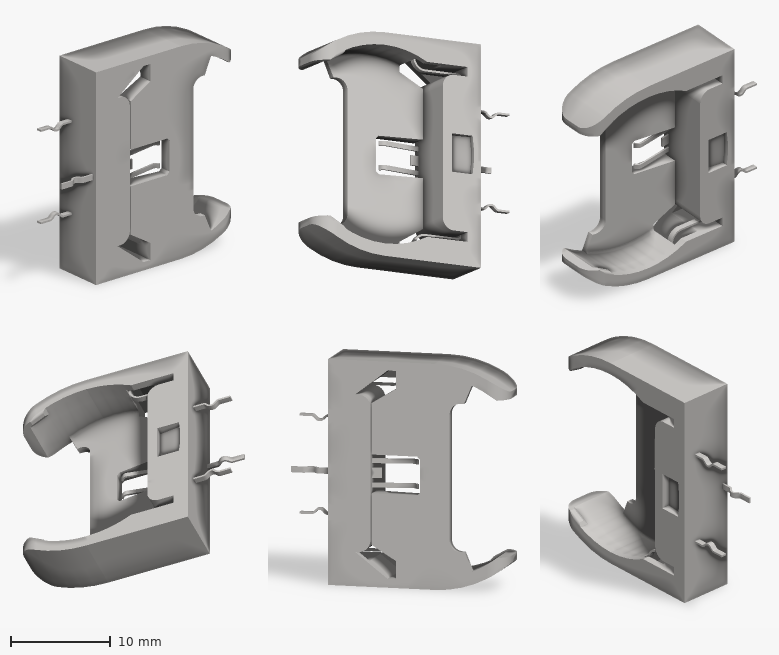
import cadquery as cq
import math


WIDTH = 5.8
DEPTH = 18.5
HALF_HEIGHT = 11.5
CELL_Y = 11.0
ARM_OUTER_R = HALF_HEIGHT
ARM_INNER_R = 10.21
ARM_TIP_INNER_R = 10.42
ARM_TIP_CENTRE_Z = ARM_INNER_R - ARM_TIP_INNER_R
TIP_HALF_GAP = 8.0
TIP_CORNER_R = 2.0
WALL_THICK = 4.37
WALL_CORNER_R = 1.25

SLOT_END_Y = 1.55
SLOT_INNER_Z = TIP_HALF_GAP
SLOT_OUTER_Z = 9.0
WEB_THICK = 0.8

RELIEF_X = 0.8
RELIEF_OUTER_Z = 10.6
RELIEF_BACK_Y = 7.02
RELIEF_FRONT_Y = (2.78, 6.16)

FLOOR_TILT = math.tan(math.radians(7))
FLOOR_X_AT_WALL = 3.35
FLOOR_FRONT_Y = 4.5
FLOOR_BACK_Y = 12.58
FLOOR_RELIEF_Z = (7.22, 8.75)
FLOOR_EAR_Z = 7.57
FLOOR_EAR_INNER_Y = 14.08
FLOOR_EAR_TIP = (14.97, 9.65)
FLOOR_EAR_R = 1.2
FLOOR_ROOT_R = 10.58
FLOOR_FILLET_R = 0.25
NOTCH_HALF_WIDTH = 1.98
NOTCH_END_Y = 9.52
NOTCH_CHAMFER = 0.3

LIP_SLOPE = 30
LIP_BASE_START = (15.39, 9.27)
LIP_CREST_START = (15.73, 8.79)
LIP_HEIGHT = 0.25
LIP_CREST_X = 0.65
LIP_BASE_X = 1.05

POCKET_Y = (0.97, 3.31)
POCKET_BULGE_Y = 0.8
POCKET_HALF_WIDTH = NOTCH_HALF_WIDTH
POCKET_DEPTH = 0.9

SHEET = 0.2
PIN_WIDTH = 0.6
PIN_LENGTH = 4.0
KINK_Y = -1.93
KINK_RISE = 0.7
KINK_CREST_R = 0.5
KINK_FOOT_R = 0.45
SIDE_PIN_Z = 5.0
SIDE_X = 1.68
SPRING_Z = 8.46
SPRING_LEG_Y = 1.45
SPRING_BEND_R = 0.55
SPRING_CURL_R = 1.25
SPRING_TIP_Y = 6.88
SPRING_TIP_Z = 9.75
CENTRE_X = 5.2
PLATE_Y = (2.07, 4.15)
PLATE_HALF_WIDTH = 1.5
FINGER_WIDTH = 0.48
FINGER_Z = 1.25
FINGER_ROOT_Y = 3.9
FINGER_PEAK = (8.67, 4.37)
FINGER_TIP = (9.06, 4.8)
FINGER_BEND_R = 0.48
TAB_WIDTH = 1.04
TAB_END_Y = 5.34


def prism(sketch_points, x_from=0.0, x_to=WIDTH):
    """Extrude a polygon of (Y, Z) points along X."""
    return cq.Workplane("YZ", origin=(x_from, 0, 0)).polyline(sketch_points).close().extrude(x_to - x_from)




def circle_z(radius, y):
    return math.sqrt(radius**2 - (y - CELL_Y) ** 2)


def circle_dy(radius, z):
    return math.sqrt(radius**2 - z**2)


def half_frame():
    """Upper half of the wall with its arm and slot."""
    tip_outer_z = circle_z(ARM_OUTER_R, DEPTH)
    middle_y = (CELL_Y + DEPTH) / 2
    tip_dy = circle_dy(ARM_TIP_INNER_R, TIP_HALF_GAP - ARM_TIP_CENTRE_Z)
    root_dy = circle_dy(ARM_INNER_R, SLOT_OUTER_Z)
    frame = (
        cq.Workplane("YZ")
        .moveTo(0, 0)
        .lineTo(0, HALF_HEIGHT)
        .lineTo(CELL_Y, HALF_HEIGHT)
        .threePointArc((middle_y, circle_z(ARM_OUTER_R, middle_y)), (DEPTH, tip_outer_z))
        .lineTo(DEPTH, TIP_HALF_GAP)
        .lineTo(CELL_Y + tip_dy, TIP_HALF_GAP)
        .threePointArc(
            (CELL_Y + tip_dy / 2, ARM_TIP_CENTRE_Z + circle_z(ARM_TIP_INNER_R, CELL_Y + tip_dy / 2)),
            (CELL_Y, ARM_INNER_R),
        )
        .threePointArc(
            (CELL_Y - root_dy / 2, circle_z(ARM_INNER_R, CELL_Y - root_dy / 2)),
            (CELL_Y - root_dy, SLOT_OUTER_Z),
        )
        .lineTo(SLOT_END_Y, SLOT_OUTER_Z)
        .lineTo(SLOT_END_Y, SLOT_INNER_Z)
        .lineTo(WALL_THICK - WALL_CORNER_R, SLOT_INNER_Z)
        .tangentArcPoint((WALL_THICK, SLOT_INNER_Z - WALL_CORNER_R), relative=False)
        .lineTo(WALL_THICK, 0)
        .close()
        .extrude(WIDTH)
    )
    web = prism(
        [
            (SLOT_END_Y, SLOT_INNER_Z),
            (WALL_THICK, SLOT_INNER_Z),
            (WALL_THICK, SLOT_OUTER_Z),
            (SLOT_END_Y, SLOT_OUTER_Z),
        ],
        WIDTH - WEB_THICK,
    )
    inner_front_y, outer_front_y = RELIEF_FRONT_Y
    relief = prism(
        [
            (inner_front_y, SLOT_INNER_Z),
            (RELIEF_BACK_Y, SLOT_INNER_Z),
            (RELIEF_BACK_Y, RELIEF_OUTER_Z),
            (outer_front_y, RELIEF_OUTER_Z),
        ],
        RELIEF_X,
    )
    return frame.union(web).cut(relief)


def half_floor():
    """Upper half of the floor, its surface sloping away from the open side."""
    outline = (
        cq.Workplane("YZ")
        .moveTo(NOTCH_END_Y, 0)
        .lineTo(NOTCH_END_Y, NOTCH_HALF_WIDTH - NOTCH_CHAMFER)
        .lineTo(NOTCH_END_Y - NOTCH_CHAMFER, NOTCH_HALF_WIDTH)
        .lineTo(FLOOR_FRONT_Y, NOTCH_HALF_WIDTH)
        .lineTo(FLOOR_FRONT_Y, FLOOR_RELIEF_Z[0])
        .lineTo(RELIEF_BACK_Y, FLOOR_RELIEF_Z[1])
        .lineTo(RELIEF_BACK_Y, circle_z(FLOOR_ROOT_R, RELIEF_BACK_Y))
        .threePointArc((CELL_Y, FLOOR_ROOT_R), FLOOR_EAR_TIP)
        .lineTo(FLOOR_EAR_INNER_Y, FLOOR_EAR_Z)
        .lineTo(FLOOR_BACK_Y + FLOOR_EAR_R, FLOOR_EAR_Z)
        .tangentArcPoint((FLOOR_BACK_Y, FLOOR_EAR_Z - FLOOR_EAR_R), relative=False)
        .lineTo(FLOOR_BACK_Y, 0)
        .close()
        .extrude(WIDTH)
    )
    wedge = (
        cq.Workplane("XY")
        .polyline(
            [
                (FLOOR_X_AT_WALL, 0),
                (WIDTH, 0),
                (WIDTH, DEPTH),
                (FLOOR_X_AT_WALL + FLOOR_TILT * DEPTH, DEPTH),
            ]
        )
        .close()
        .extrude(HALF_HEIGHT)
    )
    return outline.intersect(wedge)


def half_lip():
    """Lip along the open edge of the upper arm: rounded outside, sloping inside."""
    round_mid = LIP_HEIGHT * math.sqrt(0.5)
    slope = math.radians(LIP_SLOPE)
    along = cq.Vector(0, math.cos(slope), -math.sin(slope))
    crest_start = cq.Vector(0, *LIP_CREST_START)
    section_plane = cq.Plane(crest_start - along * LIP_HEIGHT * 2, (1, 0, 0), along)
    bar = (
        cq.Workplane(section_plane)
        .moveTo(0, -2 * LIP_HEIGHT)
        .lineTo(0, -LIP_HEIGHT)
        .threePointArc((LIP_HEIGHT - round_mid, round_mid - LIP_HEIGHT), (LIP_HEIGHT, 0))
        .lineTo(LIP_CREST_X, 0)
        .lineTo(LIP_BASE_X, -LIP_HEIGHT)
        .lineTo(LIP_BASE_X, -2 * LIP_HEIGHT)
        .close()
        .extrude(DEPTH - LIP_BASE_START[0])
    )
    extent = prism(
        [
            LIP_BASE_START,
            LIP_CREST_START,
            (LIP_CREST_START[0], TIP_HALF_GAP),
            (DEPTH, TIP_HALF_GAP),
            (DEPTH, LIP_BASE_START[1]),
        ]
    )
    return bar.intersect(extent)


def tip_envelope():
    """Block with the rounded corners of the arm tips."""
    return (
        cq.Workplane("XY", origin=(0, 0, -HALF_HEIGHT))
        .rect(WIDTH, DEPTH, centered=False)
        .extrude(2 * HALF_HEIGHT)
        .edges("|Z and >Y")
        .fillet(TIP_CORNER_R)
    )


def pocket():
    """Recess in the wall with a bowed lower edge and a bottom parallel to the floor."""
    near_y, far_y = POCKET_Y
    outline = (
        cq.Workplane("YZ")
        .moveTo(far_y, -POCKET_HALF_WIDTH)
        .lineTo(near_y, -POCKET_HALF_WIDTH)
        .threePointArc((POCKET_BULGE_Y, 0), (near_y, POCKET_HALF_WIDTH))
        .lineTo(far_y, POCKET_HALF_WIDTH)
        .close()
        .extrude(POCKET_DEPTH)
    )
    shallow_depth = POCKET_DEPTH - FLOOR_TILT * far_y
    wedge = (
        cq.Workplane("XY", origin=(0, 0, -POCKET_HALF_WIDTH))
        .polyline([(0, 0), (shallow_depth, 0), (POCKET_DEPTH, far_y), (0, far_y)])
        .close()
        .extrude(2 * POCKET_HALF_WIDTH)
    )
    return outline.intersect(wedge)


def make_housing(contacts):
    upper = half_frame().union(half_floor())
    floor_seams = upper.edges("%ELLIPSE").filter(lambda edge: edge.Center().z > FLOOR_EAR_Z)
    upper = floor_seams.fillet(FLOOR_FILLET_R)
    upper = upper.union(half_lip())
    housing = upper.union(upper.mirror("XY")).intersect(tip_envelope()).cut(pocket())
    for contact in contacts:
        housing = housing.cut(contact)
    return housing




def bent_strip(plane, bends, width, offset):
    """Sheet strip along a path. `bends` holds (u, v, bend radius) points; the radii of the
    two ends are not used. The strip is `width` wide and centred at `offset` on the plane's normal."""
    workplane = cq.Workplane(plane).workplane(offset=offset)
    start_u, start_v, _ = bends[0]
    path = workplane.moveTo(start_u, start_v)
    for before, corner, after in zip(bends, bends[1:], bends[2:]):
        u, v, radius = corner
        point = cq.Vector(u, v)
        into = (cq.Vector(*before[:2]) - point).normalized()
        out = (cq.Vector(*after[:2]) - point).normalized()
        half_angle = into.getAngle(out) / 2
        reach = radius / math.tan(half_angle)
        to_middle = radius / math.sin(half_angle) - radius
        arc_start = point + into * reach
        arc_middle = point + (into + out).normalized() * to_middle
        arc_end = point + out * reach
        path = path.lineTo(arc_start.x, arc_start.y)
        path = path.threePointArc((arc_middle.x, arc_middle.y), (arc_end.x, arc_end.y))
    path = path.lineTo(*bends[-1][:2])

    normal = workplane.plane.zDir
    start = workplane.plane.toWorldCoords((start_u, start_v))
    next_point = workplane.plane.toWorldCoords(bends[1][:2])
    section = cq.Workplane(cq.Plane(start, normal, next_point - start)).rect(width, SHEET)
    return section.sweep(path)


def pin_bends(level):
    """Bends of a pin, read from the wall outwards, that kinks towards zero from `level`."""
    return [
        (KINK_Y + KINK_RISE, level, KINK_FOOT_R),
        (KINK_Y, level - KINK_RISE, KINK_CREST_R),
        (KINK_Y - KINK_RISE, level, KINK_FOOT_R),
        (-PIN_LENGTH, level, 0),
    ]


def make_side_contact():
    """Upper side contact: spring in the slot, leg inside the wall and pin."""
    bends = [
        (SPRING_TIP_Y, SPRING_TIP_Z, 0),
        (SPRING_TIP_Y, SPRING_Z, SPRING_CURL_R),
        (SPRING_LEG_Y, SPRING_Z, SPRING_BEND_R),
        (SPRING_LEG_Y, SIDE_PIN_Z, SPRING_BEND_R),
    ]
    return bent_strip("YZ", bends + pin_bends(SIDE_PIN_Z), PIN_WIDTH, SIDE_X)


def make_centre_contact():
    """Plate inside the wall with a pin, two fingers that press on the cell and a short tab."""
    plate_end_y, plate_start_y = PLATE_Y
    plate_depth = plate_start_y - plate_end_y
    contact = cq.Workplane("XY", origin=(CENTRE_X, plate_end_y + plate_depth / 2, 0)).box(
        SHEET, plate_depth, 2 * PLATE_HALF_WIDTH
    )
    pin = [(plate_end_y, CENTRE_X, 0)] + pin_bends(CENTRE_X)
    contact = contact.union(bent_strip("YX", pin, PIN_WIDTH, 0))

    root = (FINGER_ROOT_Y, CENTRE_X, 0)
    finger = [root, (*FINGER_PEAK, FINGER_BEND_R), (*FINGER_TIP, 0)]
    for side in (-1, 1):
        contact = contact.union(bent_strip("YX", finger, FINGER_WIDTH, side * FINGER_Z))

    lean = (FINGER_PEAK[1] - CENTRE_X) / (FINGER_PEAK[0] - FINGER_ROOT_Y)
    tab_end_x = CENTRE_X + lean * (TAB_END_Y - FINGER_ROOT_Y)
    return contact.union(bent_strip("YX", [root, (TAB_END_Y, tab_end_x, 0)], TAB_WIDTH, 0))


upper_side_contact = make_side_contact()
side_contacts = [upper_side_contact, upper_side_contact.mirror("XY")]
centre_contact = make_centre_contact()
housing = make_housing([*side_contacts, centre_contact])
result = cq.Compound.makeCompound(
    [housing.val(), *[contact.val() for contact in side_contacts], centre_contact.val()]
)